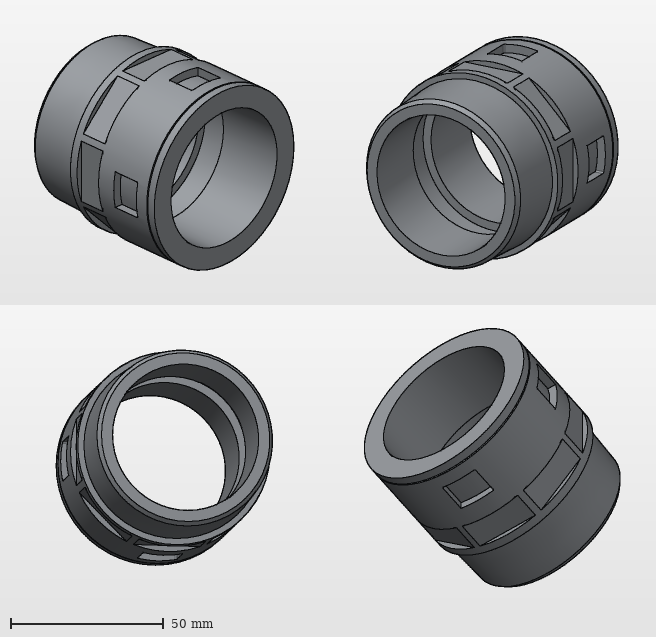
import cadquery as cq

length = 60.0
chamfer_length = 1.6
collar_start = 20.9
flats_start = 24.0
flats_end = 34.05
pocket_start = 41.15
pocket_end = 51.7
groove_start = 56.5
groove_end = 57.0
recess_start = 23.5
recess_end = 35.0

body_radius = 64 / 2
spigot_tip_radius = 55.95 / 2
spigot_radius = 29.2
spigot_root_radius = 29.95
bore_radius = 48.5 / 2
recess_radius = 54.5 / 2
groove_radius = 58.0 / 2
flat_distance = 30.0
pocket_floor_radius = 58.0 / 2

flat_count = 8
pocket_count = 4
pocket_width = 13.05
pocket_corner_radius = 0.5


def cylinder(start, end, radius):
    """Solid cylinder on the X axis between two stations."""
    return cq.Workplane("YZ", origin=(start, 0, 0)).circle(radius).extrude(end - start)


def turned_body():
    """Tapered spigot, collar and grooved body, bored through with an internal recess."""
    profile = [
        (0, bore_radius),
        (0, spigot_tip_radius),
        (chamfer_length, spigot_radius),
        (collar_start, spigot_root_radius),
        (collar_start, body_radius),
        (groove_start, body_radius),
        (groove_start, groove_radius),
        (groove_end, groove_radius),
        (groove_end, body_radius),
        (length, body_radius),
        (length, bore_radius),
        (recess_end, bore_radius),
        (recess_end, recess_radius),
        (recess_start, recess_radius),
        (recess_start, bore_radius),
    ]
    return cq.Workplane("XY").polyline(profile).close().revolve(360, (0, 0, 0), (1, 0, 0))


def wrench_flats():
    """Material outside a regular polygon of flats, to be removed from the body."""
    width = flats_end - flats_start
    cutter = None
    for index in range(flat_count):
        block = (
            cq.Workplane("XY", origin=(flats_start, 0, flat_distance))
            .box(width, 2 * body_radius, body_radius, centered=(False, True, False))
            .rotate((0, 0, 0), (1, 0, 0), index * 360 / flat_count)
        )
        cutter = block if cutter is None else cutter.union(block)
    return cutter


def pockets():
    """Rectangular pockets with a cylindrical floor, rounded at the rim-side corners."""
    core = cylinder(pocket_start, pocket_end, pocket_floor_radius)
    cutter = None
    for index in range(pocket_count):
        block = (
            cq.Workplane("XY", origin=(pocket_start, 0, 0))
            .box(pocket_end - pocket_start, pocket_width, 2 * body_radius, centered=(False, True, False))
            .edges("|Z and >X")
            .fillet(pocket_corner_radius)
            .cut(core)
            .rotate((0, 0, 0), (1, 0, 0), index * 360 / pocket_count)
        )
        cutter = block if cutter is None else cutter.union(block)
    return cutter


result = turned_body().cut(wrench_flats()).cut(pockets())